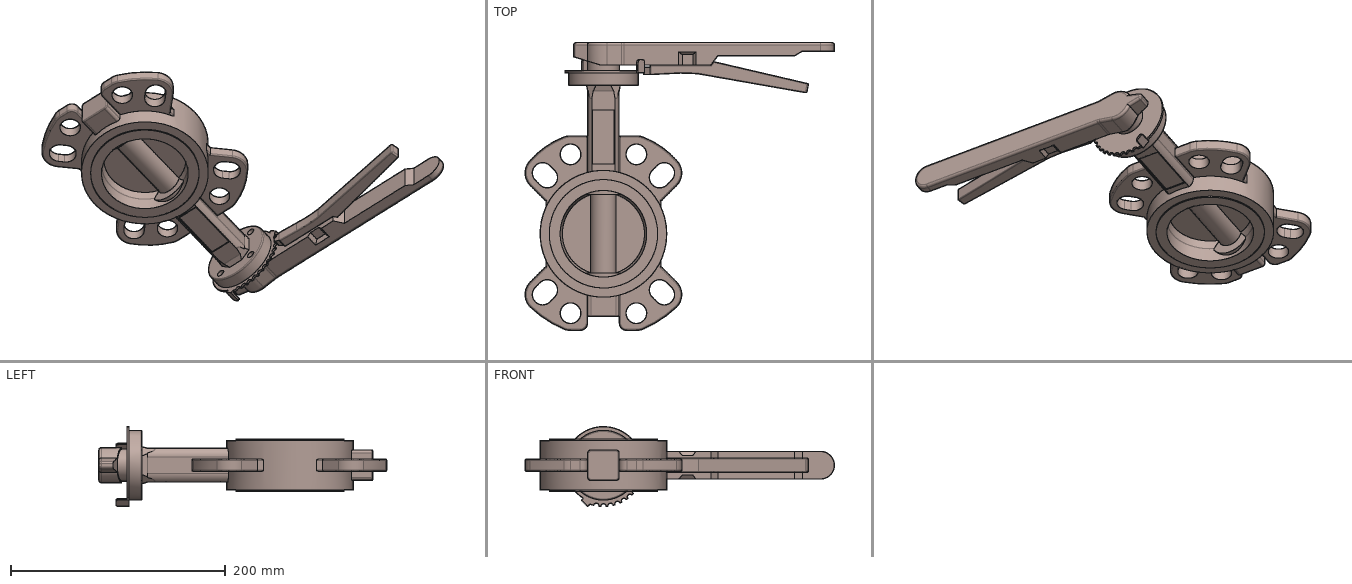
import cadquery as cq
import math


overall_length = 287.89
stem_top_y = 178.0
upper_lug_end_y = 91.2
lower_lug_end_y = 90.0
lug_reach_x = 72.95

body_radius = 118.0 / 2
body_half_height = 23.0
seat_radius = 100.9 / 2
seat_half_height = 24.3
bore_radius = 40.3
throat_radius = 38.2
throat_start_z = 9.5
disc_half_thickness = 1.8
shaft_diameter = 24.0
shaft_pad_diameter = 41.0
shaft_pad_y = 36.6

bolt_circle_radius = 80.0
lug_hole_diameter = 19.0
hole_angle = 67.5
slot_angle = 45.0
slot_stretch = 6.0
lug_half_thickness = 5.7
lug_edge_round = 1.2
lug_inner_corner_round = 7.0
lug_root_x = 53.6
lug_root_y = 24.0

neck_half_width = 14.7
neck_half_height = 15.8
neck_side_half_flat = 7.6
neck_top_half_flat = 10.7
neck_recess_half_width = 10.0
neck_recess_depth = 1.1
neck_recess_start_y = 64.8
neck_recess_end_y = 115.3
bevel_start_y = 122.0
bevel_start_offset = 19.3
bevel_end_offset = 17.25
foot_start_y = 132.7
foot_half_width = 15.7
foot_half_height = 17.4
boss_half_height = 14.2
boss_end_y = -77.0
boss_edge_round = 3.0
boss_end_round = 1.0

flange_bottom_y = 137.9
flange_diameter = 65.0
flange_edge_round = 1.0
flange_hole_diameter = 7.0
flange_hole_circle_radius = 25.0
flange_hole_count = 4
flange_first_hole_angle = 45.0

plate_bottom_y = 149.8
plate_thickness = 2.0
plate_radius = 36.0
tooth_tip_radius = 38.4
notch_radius = 2.4
notch_count = 12
notch_pitch = 10.0
sector_middle_angle = -45.0
sector_half_angle = 67.0
tab_start = 8.4
tab_end = 16.85
tab_face_offset = 37.4
tab_top_y = 162.0
tab_corner_round = 2.4

collar_diameter = 30.0
hub_radius = 16.4
hub_tangent_angle = 78.0
lever_width = 25.9
lever_end_x = overall_length - lug_reach_x
lever_bottom_y = 157.0
lever_grip_y = 165.6
lever_tip_y = 169.8
lever_step_start_x = 100.0
lever_step_end_x = 106.5
grip_end_x = 178.0
tip_start_x = 185.0
lever_edge_round = 2.5
shoulder_round = 10.5
nose_end_x = -27.8
nose_bottom_y = 164.6
nose_slope_end_x = -2.6
nose_tip_half_width = 3.0
nose_root_half_width = 11.0
nose_tip_round = 2.0

grip_recess_mouth = (70.0, 86.0)
grip_recess_floor = (73.4, 83.2)
grip_recess_mouth_top_y = 169.2
grip_recess_floor_top_y = 166.6
grip_recess_depth = 3.8

trigger_half_width = 6.6
trigger_start_x = 43.4
trigger_end_round = 1.5
trigger_edge_round = 0.7
pawl_tip_x = 37.5
pawl_tip_half_width = 2.0
pawl_top_y = 155.0
trigger_bottom_y = 148.0
trigger_bend_start = (63.0, 149.0)
trigger_bend_middle = (76.0, 149.4)
trigger_bend_end = (88.5, 148.7)
trigger_end_bottom = (189.3, 131.0)
trigger_end_top = (191.0, 139.6)
trigger_lever_contact = (102.6, 160.2)


def polar(radius, angle):
    return (radius * math.cos(math.radians(angle)), radius * math.sin(math.radians(angle)))


def along_y(start_y):
    """Workplane with local x = X and local y = Z; a negative extrusion runs toward +Y."""
    return cq.Workplane("XZ", origin=(0, start_y, 0))


def slab(half_width, start_y, end_y, half_height):
    return (along_y(start_y)
            .rect(2 * half_width, 2 * half_height)
            .extrude(start_y - end_y))


def cylinder_y(diameter, start_y, end_y):
    return along_y(start_y).circle(diameter / 2).extrude(start_y - end_y)


def both_ways(sketch, half_height):
    return sketch.extrude(half_height, both=True)


def make_lug(end_y, corner_round):
    """Lug in the +X +Y quadrant, wrapped around its round hole and its radial slot."""
    hole_x, hole_y = polar(bolt_circle_radius, hole_angle)
    slot_x, slot_y = polar(bolt_circle_radius, slot_angle)
    hole_wrap = end_y - hole_y
    slot_wrap = lug_reach_x - slot_x
    side_angle = slot_angle - 90
    middle_angle = (hole_angle + slot_angle) / 2

    def around_hole(angle):
        dx, dy = polar(hole_wrap, angle)
        return (hole_x + dx, hole_y + dy)

    def around_slot(angle):
        dx, dy = polar(slot_wrap, angle)
        return (slot_x + dx, slot_y + dy)

    side_x, side_y = around_slot(side_angle)
    lug = both_ways(
        cq.Workplane("XY")
        .moveTo(neck_half_width, lug_root_y)
        .lineTo(neck_half_width, end_y)
        .lineTo(hole_x, end_y)
        .threePointArc(around_hole((90 + hole_angle) / 2), around_hole(hole_angle))
        .threePointArc(polar(bolt_circle_radius + hole_wrap, middle_angle), around_slot(slot_angle))
        .threePointArc(around_slot((slot_angle + side_angle) / 2), (side_x, side_y))
        .lineTo(lug_root_x, side_y - (side_x - lug_root_x))
        .lineTo(lug_root_x, lug_root_y)
        .close(),
        lug_half_thickness,
    )
    if corner_round:
        corner = cq.selectors.NearestToPointSelector((neck_half_width, end_y, 0))
        lug = lug.edges(corner).fillet(corner_round)
    lug = lug.faces("|Z").edges().fillet(lug_edge_round)
    hole = both_ways(
        cq.Workplane("XY").center(hole_x, hole_y).circle(lug_hole_diameter / 2),
        body_half_height,
    )
    slot_centre = polar(bolt_circle_radius - slot_stretch / 2, slot_angle)
    slot = both_ways(
        cq.Workplane("XY").center(*slot_centre)
        .slot2D(lug_hole_diameter + slot_stretch, lug_hole_diameter, slot_angle),
        body_half_height,
    )
    return lug.cut(hole).cut(slot)


def make_neck():
    """Stem neck with rounded corners, ending in a bevelled, widened foot under the flange."""
    end_y = flange_bottom_y
    drop = neck_half_width - neck_top_half_flat
    rise = neck_half_height - neck_side_half_flat
    corner_radius = (drop ** 2 + rise ** 2) / (2 * drop)
    centre_x = neck_half_width - corner_radius
    sweep = math.degrees(math.asin(rise / corner_radius))
    mid_dx, mid_dz = polar(corner_radius, sweep / 2)
    mid_x = centre_x + mid_dx
    mid_z = neck_side_half_flat + mid_dz
    neck = (
        along_y(0)
        .moveTo(neck_half_width, -neck_side_half_flat)
        .lineTo(neck_half_width, neck_side_half_flat)
        .threePointArc((mid_x, mid_z), (neck_top_half_flat, neck_half_height))
        .lineTo(-neck_top_half_flat, neck_half_height)
        .threePointArc((-mid_x, mid_z), (-neck_half_width, neck_side_half_flat))
        .lineTo(-neck_half_width, -neck_side_half_flat)
        .threePointArc((-mid_x, -mid_z), (-neck_top_half_flat, -neck_half_height))
        .lineTo(neck_top_half_flat, -neck_half_height)
        .threePointArc((mid_x, -mid_z), (neck_half_width, -neck_side_half_flat))
        .close()
        .extrude(-end_y)
    )
    foot = (
        along_y(foot_start_y).rect(2 * neck_half_width, 2 * neck_half_height)
        .workplane(offset=foot_start_y - end_y).rect(2 * foot_half_width, 2 * foot_half_height)
        .loft()
    )
    bevel = (
        along_y(bevel_start_y).rect(2 * bevel_start_offset, 2 * bevel_start_offset)
        .workplane(offset=bevel_start_y - end_y).rect(2 * bevel_end_offset, 2 * bevel_end_offset)
        .loft()
        .rotate((0, 0, 0), (0, 1, 0), 45)
    )
    shank = slab(body_radius, 0, bevel_start_y, body_radius)
    neck = neck.union(foot).intersect(shank.union(bevel))
    for side in (1, -1):
        recess = cq.Workplane("XY").box(
            2 * neck_recess_half_width,
            neck_recess_end_y - neck_recess_start_y,
            2 * neck_recess_depth,
        ).translate((0, (neck_recess_start_y + neck_recess_end_y) / 2, side * neck_half_height))
        neck = neck.cut(recess)
    return neck


def make_boss():
    return (
        slab(neck_half_width, boss_end_y, 0, boss_half_height)
        .edges("|Y").fillet(boss_edge_round)
        .faces("<Y").edges().fillet(boss_end_round)
    )


def make_body():
    """Body ring with neck, boss and lugs, bored through, plus the closed disc on its shaft."""
    body = both_ways(cq.Workplane("XY").circle(body_radius), body_half_height)
    body = body.union(both_ways(cq.Workplane("XY").circle(seat_radius), seat_half_height))
    body = body.union(make_neck()).union(make_boss())
    upper_lug = make_lug(upper_lug_end_y, 0)
    lower_lug = make_lug(lower_lug_end_y, lug_inner_corner_round).mirror("XZ")
    for lug in (upper_lug, lower_lug):
        body = body.union(lug).union(lug.mirror("YZ"))
    bore = (
        cq.Workplane("XZ")
        .moveTo(0, seat_half_height)
        .lineTo(bore_radius, seat_half_height)
        .lineTo(bore_radius, throat_start_z)
        .lineTo(throat_radius, disc_half_thickness)
        .lineTo(throat_radius, -disc_half_thickness)
        .lineTo(bore_radius, -throat_start_z)
        .lineTo(bore_radius, -seat_half_height)
        .lineTo(0, -seat_half_height)
        .close()
        .revolve(360, (0, 0, 0), (0, 1, 0))
    )
    body = body.cut(bore)
    inside_ring_y = (bore_radius + body_radius) / 2
    pad = cylinder_y(shaft_pad_diameter, shaft_pad_y, inside_ring_y)
    body = body.union(pad).union(pad.mirror("XZ"))
    disc = both_ways(cq.Workplane("XY").circle(throat_radius), disc_half_thickness)
    shaft = cylinder_y(shaft_diameter, -inside_ring_y, inside_ring_y)
    return body.union(disc).union(shaft)


def make_flange():
    flange = cylinder_y(flange_diameter, flange_bottom_y, plate_bottom_y)
    flange = flange.faces("<Y").edges().fillet(flange_edge_round)
    holes = (
        along_y(flange_bottom_y)
        .polarArray(flange_hole_circle_radius, flange_first_hole_angle, 360, flange_hole_count)
        .circle(flange_hole_diameter / 2)
        .extrude(flange_bottom_y - plate_bottom_y)
    )
    return flange.cut(holes)


def make_notch_plate():
    """Round plate with a notched sector; a tab is bent up at each end of the sector."""
    plate = along_y(plate_bottom_y).circle(plate_radius).extrude(-plate_thickness)
    sector = (
        along_y(plate_bottom_y)
        .lineTo(*polar(tooth_tip_radius, -sector_half_angle))
        .threePointArc((tooth_tip_radius, 0), polar(tooth_tip_radius, sector_half_angle))
        .close()
        .extrude(-plate_thickness)
    )
    notches = (
        along_y(plate_bottom_y)
        .polarArray(tooth_tip_radius, -notch_pitch * (notch_count - 1) / 2,
                    notch_pitch * (notch_count - 1), notch_count)
        .circle(notch_radius)
        .extrude(-plate_thickness)
    )
    tab_roots = (
        along_y(plate_bottom_y).center((tab_start + tab_end) / 2, 0)
        .rect(tab_end - tab_start, 2 * tab_face_offset)
        .extrude(-plate_thickness)
    )
    sector = sector.cut(notches).union(tab_roots)
    for side in (1, -1):
        tab = cq.Workplane("XY").box(
            tab_end - tab_start, tab_top_y - plate_bottom_y, plate_thickness
        ).edges("|Z and >Y").fillet(tab_corner_round)
        sector = sector.union(tab.translate((
            (tab_start + tab_end) / 2,
            (plate_bottom_y + tab_top_y) / 2,
            side * (tab_face_offset - plate_thickness / 2),
        )))
    return plate.union(sector.rotate((0, 0, 0), (0, 1, 0), -sector_middle_angle))


def make_lever():
    """Hub with a tapered nose and a long round-ended grip, trimmed to the side profile."""
    half_width = lever_width / 2
    tangent_x, tangent_z = polar(hub_radius, hub_tangent_angle)
    shoulder_x = tangent_x + (tangent_z - half_width) * math.tan(math.radians(hub_tangent_angle))
    height = stem_top_y - lever_bottom_y
    grip_centre_x = lever_end_x - half_width
    outline = (
        along_y(lever_bottom_y)
        .moveTo(tangent_x, tangent_z)
        .lineTo(shoulder_x, half_width)
        .lineTo(grip_centre_x, half_width)
        .threePointArc((lever_end_x, 0), (grip_centre_x, -half_width))
        .lineTo(shoulder_x, -half_width)
        .lineTo(tangent_x, -tangent_z)
        .threePointArc((-hub_radius, 0), (tangent_x, tangent_z))
        .close()
        .extrude(-height)
    )
    selection_margin = 1.0
    outline = outline.edges(
        cq.selectors.BoxSelector(
            (shoulder_x - selection_margin, lever_bottom_y, -lever_width),
            (shoulder_x + selection_margin, stem_top_y, lever_width),
        )
    ).fillet(shoulder_round)
    nose = (
        along_y(lever_bottom_y)
        .polyline([
            (nose_end_x, -nose_tip_half_width),
            (nose_end_x, nose_tip_half_width),
            (0, nose_root_half_width),
            (0, -nose_root_half_width),
        ])
        .close()
        .extrude(-height)
    )
    nose = nose.edges("|Y and <X").fillet(nose_tip_round)
    lever = outline.union(nose).faces(">Y").edges().fillet(lever_edge_round)
    profile = both_ways(
        cq.Workplane("XY").polyline([
            (nose_end_x, stem_top_y),
            (nose_end_x, nose_bottom_y),
            (nose_slope_end_x, lever_bottom_y),
            (lever_step_start_x, lever_bottom_y),
            (lever_step_end_x, lever_grip_y),
            (grip_end_x, lever_grip_y),
            (tip_start_x, lever_tip_y),
            (lever_end_x, lever_tip_y),
            (lever_end_x, stem_top_y),
        ]).close(),
        hub_radius,
    )
    lever = lever.intersect(profile)
    recess = make_grip_recess(half_width)
    return lever.cut(recess).cut(recess.mirror("XY"))


def make_grip_recess(mouth_z):
    """Tapered pocket in the +Z side of the lever, open at the lever's lower edge."""
    def opening(plane, span, top_y):
        start_x, end_x = span
        return plane.polyline([
            (start_x, lever_bottom_y),
            (end_x, lever_bottom_y),
            (end_x, top_y),
            (start_x, top_y),
        ]).close()

    floor = opening(cq.Workplane("XY", origin=(0, 0, mouth_z - grip_recess_depth)),
                    grip_recess_floor, grip_recess_floor_top_y)
    return opening(floor.workplane(offset=grip_recess_depth),
                   grip_recess_mouth, grip_recess_mouth_top_y).loft(ruled=True)


def make_trigger():
    """Bent trigger hinged under the lever, with a wedge pawl facing the notches."""
    trigger = both_ways(
        cq.Workplane("XY")
        .moveTo(trigger_start_x, trigger_bottom_y)
        .lineTo(*trigger_bend_start)
        .threePointArc(trigger_bend_middle, trigger_bend_end)
        .lineTo(*trigger_end_bottom)
        .lineTo(*trigger_end_top)
        .lineTo(*trigger_lever_contact)
        .lineTo(lever_step_start_x, lever_bottom_y)
        .lineTo(trigger_start_x, lever_bottom_y)
        .close(),
        trigger_half_width,
    )
    trigger = trigger.faces(">X").edges().fillet(trigger_end_round)
    trigger = trigger.faces("|Z").edges().fillet(trigger_edge_round)
    pawl = (
        along_y(trigger_bottom_y)
        .polyline([
            (trigger_start_x, trigger_half_width),
            (pawl_tip_x, pawl_tip_half_width),
            (pawl_tip_x, -pawl_tip_half_width),
            (trigger_start_x, -trigger_half_width),
        ])
        .close()
        .extrude(trigger_bottom_y - pawl_top_y)
    )
    return trigger.union(pawl)


collar = cylinder_y(collar_diameter, plate_bottom_y, stem_top_y - lever_edge_round)

result = make_body()
for component in (make_flange(), make_notch_plate(), collar, make_lever(), make_trigger()):
    result = result.union(component)